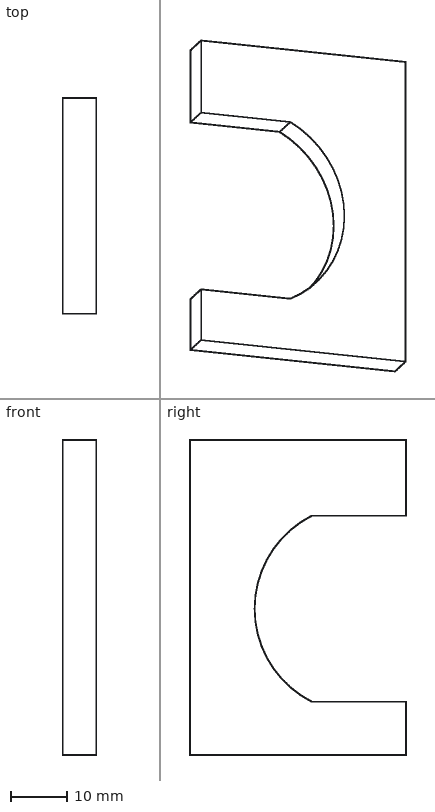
import cadquery as cq
import math

thickness = 6.0
height = 56.0
lower_arm_height = 9.5
upper_arm_height = 13.5
pocket_radius = 18.5
pocket_center_y = 30.0

mouth_height = height - lower_arm_height - upper_arm_height
mouth_bottom_z = lower_arm_height
mouth_top_z = mouth_bottom_z + mouth_height
pocket_center_z = (mouth_bottom_z + mouth_top_z) / 2

half_chord = math.sqrt(pocket_radius**2 - (mouth_height / 2) ** 2)
arc_end_y = pocket_center_y - half_chord
width = pocket_center_y + half_chord
pocket_deepest_y = pocket_center_y - pocket_radius


def make_plate():
    """Full rectangular blank with one corner at the origin."""
    return cq.Workplane("XY").box(thickness, width, height, centered=False)


def make_recess():
    """Through-cut bounded by the mouth walls and the pocket arc."""
    return (
        cq.Workplane("YZ")
        .moveTo(width, mouth_bottom_z)
        .lineTo(arc_end_y, mouth_bottom_z)
        .threePointArc((pocket_deepest_y, pocket_center_z), (arc_end_y, mouth_top_z))
        .lineTo(width, mouth_top_z)
        .close()
        .extrude(thickness)
    )


result = make_plate().cut(make_recess())